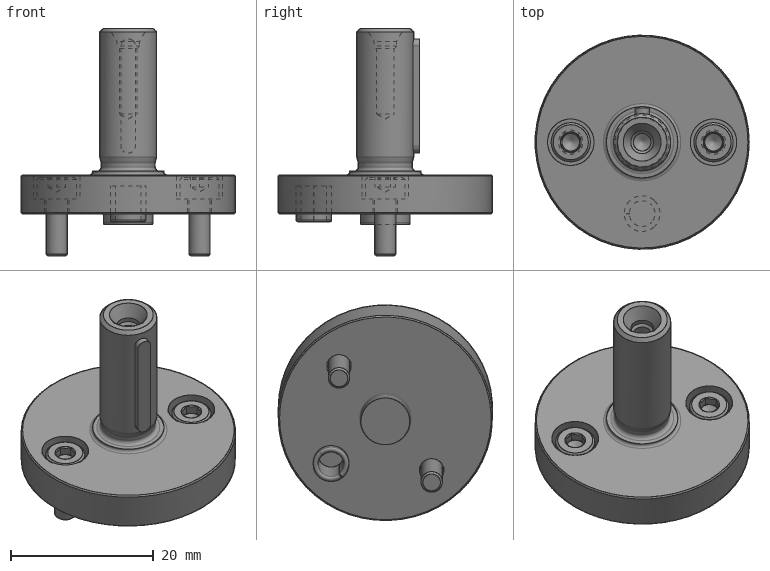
import cadquery as cq
import math

flange_dia = 30.02
flange_height = 5.5
flange_chamfer = 0.2

spigot_dia = 7.0
spigot_height = 1.5
spigot_lead_in_height = 0.3
spigot_lead_in_width = 0.08
spigot_root_fillet = 0.1

collar_dia = 10.0
collar_top = 6.0
collar_fillet = 0.4

shaft_dia = 8.0
shaft_top = 26.0
shaft_chamfer = 0.5
groove_dia = 7.6
groove_height = 2.0
groove_fillet = 0.6
groove_taper_angle = 15.0

centre_mouth_dia = 5.3
centre_middle_dia = 3.2
centre_inner_dia = 2.45
centre_middle_height = 0.65
centre_depth = 12.0
centre_mouth_half_angle = 30.0
centre_middle_half_angle = 45.0
centre_tip_half_angle = 60.0

key_width = 2.0
key_length = 16.0
key_bottom = 8.52
key_root_distance = 3.2
key_projection = 0.8

sleeve_dia = 5.0
sleeve_projection = 1.12
sleeve_wall = 0.7
sleeve_seat_depth = 3.92
sleeve_slit_width = 0.1

screw_spacing = 20.0
screw_dia = 3.0
screw_length = 8.0
screw_projection = 5.9
screw_tip_chamfer = 0.27
head_dia = 5.5
head_height = 3.0
head_chamfer = 0.3
socket_width = 2.5
socket_depth = 1.3
socket_tip_half_angle = 60.0
clearance_dia = 3.4
counterbore_dia = 6.5

shaft_radius = shaft_dia / 2
groove_radius = groove_dia / 2
screw_seat = screw_length - screw_projection
head_top = screw_seat + head_height
sleeve_offset = screw_spacing / 2
screw_places = [(-screw_spacing / 2, 0), (screw_spacing / 2, 0)]


def cone_height(radius_change, half_angle):
    """Axial length over which a cone of this half angle changes by the given radius."""
    return radius_change / math.tan(math.radians(half_angle))


def revolve_profile(profile):
    """Close an outline drawn in the XZ plane and turn it once around Z."""
    return profile.close().revolve(360, (0, 0, 0), (0, 1, 0))


def cylinder(diameter, bottom, top):
    return cq.Workplane("XY").workplane(offset=bottom).circle(diameter / 2).extrude(top - bottom)


def make_turned_body():
    """Flange, collar, grooved shaft and spigot as one revolved outline."""
    flange_radius = flange_dia / 2
    collar_radius = collar_dia / 2
    spigot_radius = spigot_dia / 2
    groove_top = collar_top + groove_height
    taper_height = cone_height(shaft_radius - groove_radius, groove_taper_angle)
    arc_middle = 1 - math.sqrt(0.5)
    tangent_length = groove_fillet * math.tan(math.radians(groove_taper_angle / 2))
    taper_fillet_start = groove_top - taper_height - tangent_length

    def taper_fillet_point(angle):
        """Point on the fillet that leads from the groove wall into its tapered end."""
        turn = math.radians(angle)
        return (
            groove_radius + groove_fillet * (1 - math.cos(turn)),
            taper_fillet_start + groove_fillet * math.sin(turn),
        )

    profile = (
        cq.Workplane("XZ")
        .moveTo(0, -spigot_height)
        .lineTo(spigot_radius - spigot_lead_in_width, -spigot_height)
        .lineTo(spigot_radius, -spigot_height + spigot_lead_in_height)
        .lineTo(spigot_radius, -spigot_root_fillet)
        .threePointArc(
            (spigot_radius + spigot_root_fillet * arc_middle, -spigot_root_fillet * arc_middle),
            (spigot_radius + spigot_root_fillet, 0),
        )
        .lineTo(flange_radius - flange_chamfer, 0)
        .lineTo(flange_radius, flange_chamfer)
        .lineTo(flange_radius, flange_height - flange_chamfer)
        .lineTo(flange_radius - flange_chamfer, flange_height)
        .lineTo(collar_radius + collar_fillet, flange_height)
        .threePointArc(
            (collar_radius + collar_fillet * arc_middle, flange_height + collar_fillet * arc_middle),
            (collar_radius, flange_height + collar_fillet),
        )
        .lineTo(collar_radius, collar_top)
        .lineTo(groove_radius + groove_fillet, collar_top)
        .threePointArc(
            (groove_radius + groove_fillet * arc_middle, collar_top + groove_fillet * arc_middle),
            (groove_radius, collar_top + groove_fillet),
        )
        .lineTo(*taper_fillet_point(0))
        .threePointArc(taper_fillet_point(groove_taper_angle / 2), taper_fillet_point(groove_taper_angle))
        .lineTo(shaft_radius, groove_top)
        .lineTo(shaft_radius, shaft_top - shaft_chamfer)
        .lineTo(shaft_radius - shaft_chamfer, shaft_top)
        .lineTo(0, shaft_top)
    )
    return revolve_profile(profile)


def make_centre_hole():
    """Outline runs down from the mouth to the drilled tip."""
    mouth_radius = centre_mouth_dia / 2
    middle_radius = centre_middle_dia / 2
    inner_radius = centre_inner_dia / 2
    middle_z = shaft_top - cone_height(mouth_radius - middle_radius, centre_mouth_half_angle)
    step_z = middle_z - centre_middle_height
    inner_z = step_z - cone_height(middle_radius - inner_radius, centre_middle_half_angle)
    tip_z = shaft_top - centre_depth - cone_height(inner_radius, centre_tip_half_angle)
    profile = (
        cq.Workplane("XZ")
        .moveTo(0, shaft_top)
        .lineTo(mouth_radius, shaft_top)
        .lineTo(middle_radius, middle_z)
        .lineTo(middle_radius, step_z)
        .lineTo(inner_radius, inner_z)
        .lineTo(inner_radius, shaft_top - centre_depth)
        .lineTo(0, tip_z)
    )
    return revolve_profile(profile)


def make_key():
    far_side = shaft_radius + key_projection
    return (
        cq.Workplane("XZ", origin=(0, key_root_distance, key_bottom + key_length / 2))
        .slot2D(key_length, key_width, angle=90)
        .extrude(key_root_distance - far_side)
    )


def make_sleeve_seat():
    return cylinder(sleeve_dia, 0, sleeve_seat_depth).translate((0, -sleeve_offset, 0))


def make_body():
    """Flange and shaft with the key, the centre hole and the seats of the other bodies."""
    body = make_turned_body().cut(make_centre_hole()).union(make_key()).cut(make_sleeve_seat())
    for place in screw_places:
        clearance = cylinder(clearance_dia, 0, screw_seat)
        counterbore = cylinder(counterbore_dia, screw_seat, flange_height)
        body = body.cut(clearance.union(counterbore).translate((*place, 0)))
    return body


def make_sleeve():
    """Split sleeve whose lower end is fully rounded."""
    outer_radius = sleeve_dia / 2
    inner_radius = outer_radius - sleeve_wall
    end_radius = sleeve_wall / 2
    round_start = end_radius - sleeve_projection
    tube = revolve_profile(
        cq.Workplane("XZ")
        .moveTo(outer_radius, sleeve_seat_depth)
        .lineTo(outer_radius, round_start)
        .threePointArc((outer_radius - end_radius, -sleeve_projection), (inner_radius, round_start))
        .lineTo(inner_radius, sleeve_seat_depth)
    )
    slit = (
        cq.Workplane("XY", origin=(-outer_radius / 2, 0, -sleeve_projection))
        .rect(outer_radius, sleeve_slit_width)
        .extrude(sleeve_projection + sleeve_seat_depth)
    )
    return tube.cut(slit).translate((0, -sleeve_offset, 0))


def make_socket():
    """Hexagon with corners toward Y, a drilled conical bottom and a countersunk mouth."""
    corner_radius = socket_width / 2 / math.cos(math.pi / 6)
    floor_z = head_top - socket_depth
    tip_height = cone_height(socket_width / 2, socket_tip_half_angle)
    hexagon = (
        cq.Workplane("XY", origin=(0, 0, floor_z))
        .transformed(rotate=(0, 0, 90))
        .polygon(6, 2 * corner_radius)
        .extrude(socket_depth)
    )
    tip = revolve_profile(
        cq.Workplane("XZ")
        .moveTo(0, floor_z)
        .lineTo(socket_width / 2, floor_z)
        .lineTo(0, floor_z - tip_height)
    )
    mouth = revolve_profile(
        cq.Workplane("XZ")
        .moveTo(0, head_top)
        .lineTo(corner_radius, head_top)
        .lineTo(0, head_top - corner_radius)
    )
    return hexagon.union(tip).union(mouth)


def make_screw(place):
    shank = cylinder(screw_dia, -screw_projection, screw_seat).faces("<Z").chamfer(screw_tip_chamfer)
    head = cylinder(head_dia, screw_seat, head_top).faces(">Z").chamfer(head_chamfer)
    return shank.union(head).cut(make_socket()).translate((*place, 0))


body = make_body()
sleeve = make_sleeve()
screws = [make_screw(place) for place in screw_places]
result = cq.Compound.makeCompound([body.val(), sleeve.val(), *[screw.val() for screw in screws]])